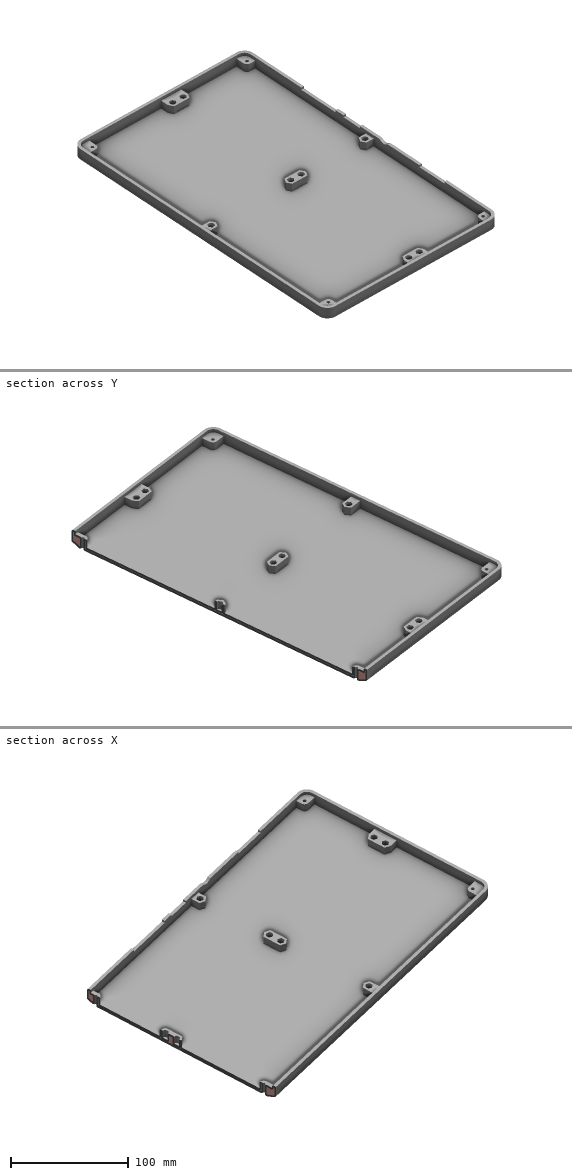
import cadquery as cq
import math

LENGTH = 320.0
WIDTH = 200.0
HEIGHT = 14.9
CORNER_RADIUS = 10.0
WALL = 3.0
FLOOR = 3.0
BEVEL_HEIGHT = 3.7
BEVEL_INSET = 8.0

POST_DIAMETER = 8.5
SCREW_DIAMETER = 3.3
POST_TOP = 11.4
POST_X = 148.5
POST_BACK_Y = 91.4
POST_FRONT_Y = -87.5

HEX_SIDES = 6
NUT_DIAMETER = 6.7
BOSS_DIAMETER = 11.3
BOSS_TOP = POST_TOP
NUT_PITCH = 12.0
BOSS_ROW_Y = 11.5
SIDE_BOSS_X = POST_X
BACK_BOSS_X = 0.0
BACK_BOSS_Y = POST_BACK_Y
FRONT_BOSS_X = 1.0
FRONT_BOSS_Y = POST_FRONT_Y

FLAT_NOTCHES = [
    (-86.3, -42.9, 2.3),
    (-33.1, -12.6, 2.0),
    (62.2, 93.7, 2.0),
]

ROUND_NOTCH_X = 17.2
ROUND_NOTCH_WIDTH = 10.0
ROUND_NOTCH_DEPTH = 2.1

INNER_X = LENGTH / 2 - WALL
INNER_Y = WIDTH / 2 - WALL
BOSS_HALF_WIDTH = BOSS_DIAMETER / 2 * math.cos(math.pi / HEX_SIDES)


def box(x0, x1, y0, y1, z0, z1):
    """Axis-aligned box between two opposite corners, given in any order."""
    return (
        cq.Workplane("XY", origin=((x0 + x1) / 2, (y0 + y1) / 2, z0))
        .rect(abs(x1 - x0), abs(y1 - y0))
        .extrude(z1 - z0)
    )


def outline(inset):
    """Rounded rectangle of the tray, moved inwards by the inset."""
    sketch = cq.Sketch().rect(LENGTH - 2 * inset, WIDTH - 2 * inset)
    return sketch.vertices().fillet(CORNER_RADIUS - inset)


def rounded_plate(inset, z0, z1):
    """Flat plate with the inset tray outline."""
    return cq.Workplane("XY", origin=(0, 0, z0)).placeSketch(outline(inset)).extrude(z1 - z0)


def bevelled_base():
    """Bottom part of the tray, tapering inwards towards the underside."""
    bottom = outline(BEVEL_INSET)
    top = outline(0).moved(cq.Location(cq.Vector(0, 0, BEVEL_HEIGHT)))
    return cq.Workplane("XY").placeSketch(bottom, top).loft()


def tray():
    """Open tray with a bevelled underside."""
    body = bevelled_base().union(rounded_plate(0, BEVEL_HEIGHT, HEIGHT))
    return body.cut(rounded_plate(WALL, FLOOR, HEIGHT))


def hexagon(diameter, x, y):
    """Hexagonal prism from the floor to the boss top, with corners pointing along Y."""
    prism = cq.Workplane("XY").polygon(HEX_SIDES, diameter).extrude(BOSS_TOP - FLOOR)
    return prism.rotate((0, 0, 0), (0, 0, 1), 90).translate((x, y, FLOOR))


def nut_row(x):
    """Centres of the two nut pockets of a double boss."""
    return [(x, BOSS_ROW_Y - NUT_PITCH / 2), (x, BOSS_ROW_Y + NUT_PITCH / 2)]


def double_boss(x):
    """Long boss joining two hexagons."""
    y0, y1 = [y for _, y in nut_row(x)]
    boss = box(x - BOSS_HALF_WIDTH, x + BOSS_HALF_WIDTH, y0, y1, FLOOR, BOSS_TOP)
    return boss.union(hexagon(BOSS_DIAMETER, x, y0)).union(hexagon(BOSS_DIAMETER, x, y1))


def side_boss(side):
    """Double boss joined to the left (-1) or right (+1) wall."""
    x = side * SIDE_BOSS_X
    reach = (NUT_PITCH + BOSS_DIAMETER) / 2
    web = box(x, side * INNER_X, BOSS_ROW_Y - reach, BOSS_ROW_Y + reach, FLOOR, BOSS_TOP)
    return double_boss(x).union(web)


def end_boss(x, y, side):
    """Single boss joined to the front (-1) or back (+1) wall."""
    web = box(x - BOSS_HALF_WIDTH, x + BOSS_HALF_WIDTH, y, side * INNER_Y, FLOOR, BOSS_TOP)
    return hexagon(BOSS_DIAMETER, x, y).union(web)


def corner_post(side, y):
    """Round post with webs filling the space to the two nearby walls."""
    x = side * POST_X
    toward_y = math.copysign(1, y)
    radius = POST_DIAMETER / 2
    post = cq.Workplane("XY", origin=(x, y, FLOOR)).circle(radius).extrude(POST_TOP - FLOOR)
    web_x = box(x, side * INNER_X, y - toward_y * radius, toward_y * INNER_Y, FLOOR, POST_TOP)
    web_y = box(x - side * radius, side * INNER_X, y, toward_y * INNER_Y, FLOOR, POST_TOP)
    return post.union(web_x).union(web_y).intersect(rounded_plate(WALL, FLOOR, POST_TOP))


def screw_hole(side, y):
    """Clearance hole through a corner post and the floor."""
    return cq.Workplane("XY", origin=(side * POST_X, y, 0)).circle(SCREW_DIAMETER / 2).extrude(POST_TOP)


def flat_notch(left, right, depth):
    """Rectangular notch through the back wall, open at the rim."""
    return box(left, right, INNER_Y, WIDTH / 2, HEIGHT - depth, HEIGHT)


def round_notch():
    """Notch through the back wall whose bottom is a shallow arc."""
    half_width = ROUND_NOTCH_WIDTH / 2
    return (
        cq.Workplane("XZ", origin=(ROUND_NOTCH_X, WIDTH / 2, HEIGHT))
        .moveTo(-half_width, 0)
        .threePointArc((0, -ROUND_NOTCH_DEPTH), (half_width, 0))
        .close()
        .extrude(WALL)
    )


post_places = [(side, y) for side in (-1, 1) for y in (POST_FRONT_Y, POST_BACK_Y)]
nut_centres = [(BACK_BOSS_X, BACK_BOSS_Y), (FRONT_BOSS_X, FRONT_BOSS_Y)]
for row_x in (-SIDE_BOSS_X, 0, SIDE_BOSS_X):
    nut_centres += nut_row(row_x)

result = tray()

for side, y in post_places:
    result = result.union(corner_post(side, y))
for side in (-1, 1):
    result = result.union(side_boss(side))
result = result.union(double_boss(0))
result = result.union(end_boss(BACK_BOSS_X, BACK_BOSS_Y, 1))
result = result.union(end_boss(FRONT_BOSS_X, FRONT_BOSS_Y, -1))

for x, y in nut_centres:
    result = result.cut(hexagon(NUT_DIAMETER, x, y))
for side, y in post_places:
    result = result.cut(screw_hole(side, y))
for left, right, depth in FLAT_NOTCHES:
    result = result.cut(flat_notch(left, right, depth))
result = result.cut(round_notch())